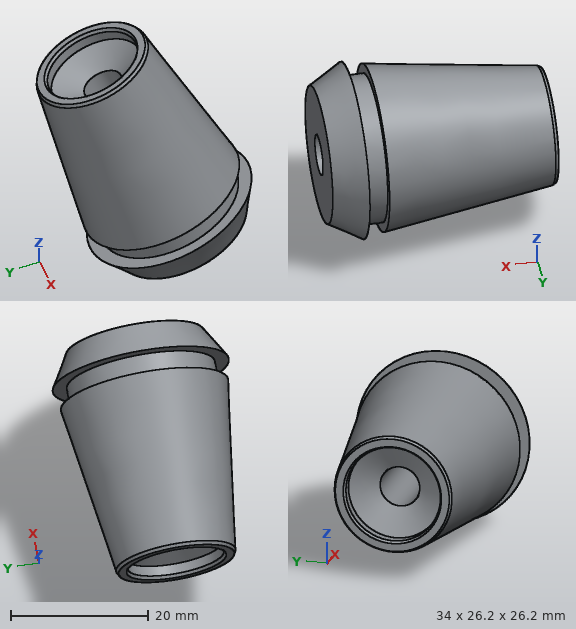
import cadquery as cq
import math

length = 34.0
rim_diameter = 26.2
rim_radius = rim_diameter / 2
head_length = 4.95
head_angle = 30.0
neck_radius = 11.0
neck_length = 3.05
small_end_radius = 8.87
taper_angle = 8.0

edge_length = 0.5
edge_depth = 0.27

recess_radius = 7.15
recess_depth = 2.0
hole_radius = 3.0
bore_cone_angle = 60.0


def rise(run, angle):
    """Radial change over an axial run along a cone."""
    return run * math.tan(math.radians(angle))


head_start = length - head_length
body_end = head_start - neck_length
body_end_radius = small_end_radius + rise(body_end - edge_length, taper_angle)
head_end_radius = rim_radius - rise(head_length, head_angle)
bore_cone_length = (recess_radius - hole_radius) / math.tan(math.radians(bore_cone_angle))

profile = [
    (0, small_end_radius - edge_depth),
    (edge_length, small_end_radius),
    (body_end, body_end_radius),
    (body_end, neck_radius),
    (head_start, neck_radius),
    (head_start, rim_radius),
    (length, head_end_radius),
    (length, hole_radius),
    (recess_depth + bore_cone_length, hole_radius),
    (recess_depth, recess_radius),
    (edge_length, recess_radius),
    (0, recess_radius + edge_depth),
]

result = cq.Workplane("XY").polyline(profile).close().revolve(360, (0, 0, 0), (1, 0, 0))